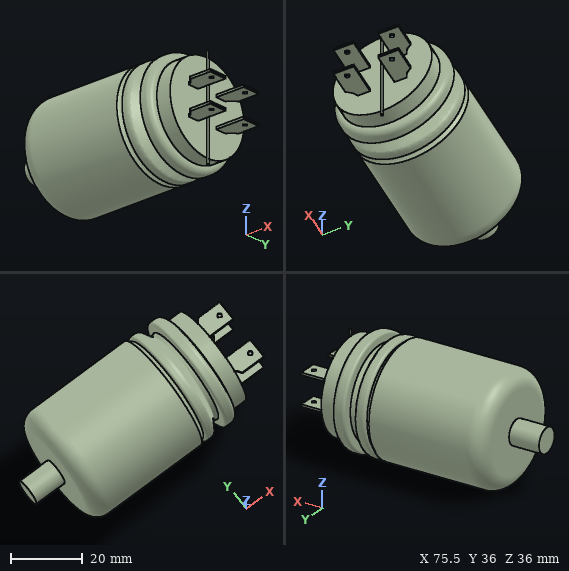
import cadquery as cq
import math

TOTAL_LENGTH = 75.5

STUD_RADIUS = 4.0
STUD_LENGTH = 10.0
CAN_RADIUS = 18.01
CAN_EDGE_FILLET = 5.0
CAN_END = 47.35

BEAD_LEFT_FILLET = 0.9
LOCK_BEAD_START = 48.8
LOCK_BEAD_CROWN_END = 50.7
RIM_BEAD_START = 55.6
RIM_BEAD_CROWN_END = 58.05
RIM_BEAD_RIGHT_FILLET = 1.9

NOTCH_DEPTH = 1.2
NOTCH_SAG = 0.15
GROOVE_SHOULDER = (52.2, 17.45)
GROOVE_FLANK = (53.0, 16.0)
GROOVE_FLOOR = (54.1, 14.5)
GROOVE_RIM_RADIUS = 14.9
GROOVE_END_DIRECTION = (1, 0.2)

DISC_RADIUS = 15.4
DISC_END = 64.9
WIRE_RADIUS = 0.34
WIRE_LENGTH = 34.7
WIRE_SINK = 0.1

TAB_WIDTH = 6.35
TAB_THICKNESS = 0.8
TAB_CENTRE_Y = 6.95
TAB_CENTRE_Z = 4.9
TAB_ROOT_CUT_LENGTH = 2.65
TAB_ROOT_CUT_DEPTH = 2.5
TAB_ROOT_CUT_RADIUS = 4.5
TAB_TIP_CHAMFER = 0.3
TAB_HOLE_DIAMETER = 1.3
TAB_HOLE_FROM_TIP = 2.65


def arc_point(centre, radius, angle):
    """Point on a circle at an angle in degrees."""
    a = math.radians(angle)
    return centre[0] + radius * math.cos(a), centre[1] + radius * math.sin(a)


def round_corner(profile, centre, radius, start_angle, end_angle):
    """Add a circular arc that starts at the profile's current point."""
    middle = arc_point(centre, radius, (start_angle + end_angle) / 2)
    return profile.threePointArc(middle, arc_point(centre, radius, end_angle))


def bead_left_edge(profile, start_x):
    """Straight wall up from the groove, rounded into the bead crown."""
    centre = (start_x + BEAD_LEFT_FILLET, CAN_RADIUS - BEAD_LEFT_FILLET)
    profile = profile.lineTo(start_x, centre[1])
    return round_corner(profile, centre, BEAD_LEFT_FILLET, 180, 90)


def make_body():
    """Stud, can, beads and end disc, revolved about the X axis."""
    profile = (
        cq.Workplane("XY")
        .lineTo(0, STUD_RADIUS)
        .lineTo(STUD_LENGTH, STUD_RADIUS)
        .lineTo(STUD_LENGTH, CAN_RADIUS - CAN_EDGE_FILLET)
    )
    edge_centre = (STUD_LENGTH + CAN_EDGE_FILLET, CAN_RADIUS - CAN_EDGE_FILLET)
    profile = round_corner(profile, edge_centre, CAN_EDGE_FILLET, 180, 90)

    notch_middle = ((CAN_END + LOCK_BEAD_START) / 2, CAN_RADIUS - NOTCH_DEPTH / 2 - NOTCH_SAG)
    profile = profile.lineTo(CAN_END, CAN_RADIUS)
    profile = profile.threePointArc(notch_middle, (LOCK_BEAD_START, CAN_RADIUS - NOTCH_DEPTH))

    profile = bead_left_edge(profile, LOCK_BEAD_START)
    profile = profile.lineTo(LOCK_BEAD_CROWN_END, CAN_RADIUS)
    groove_end = (RIM_BEAD_START, GROOVE_RIM_RADIUS)
    profile = profile.spline(
        [GROOVE_SHOULDER, GROOVE_FLANK, GROOVE_FLOOR, groove_end],
        tangents=[(1, 0), GROOVE_END_DIRECTION],
        includeCurrent=True,
    )

    profile = bead_left_edge(profile, RIM_BEAD_START)
    profile = profile.lineTo(RIM_BEAD_CROWN_END, CAN_RADIUS)
    rim_centre = (RIM_BEAD_CROWN_END, CAN_RADIUS - RIM_BEAD_RIGHT_FILLET)
    profile = round_corner(profile, rim_centre, RIM_BEAD_RIGHT_FILLET, 90, 0)
    profile = (
        profile.lineTo(RIM_BEAD_CROWN_END + RIM_BEAD_RIGHT_FILLET, DISC_RADIUS)
        .lineTo(DISC_END, DISC_RADIUS)
        .lineTo(DISC_END, 0)
        .close()
    )
    return profile.revolve(360, (0, 0, 0), (1, 0, 0))


def make_wire():
    """Thin vertical wire across the end disc, standing out past its edge."""
    return (
        cq.Workplane("XY")
        .center(DISC_END + WIRE_RADIUS - WIRE_SINK, 0)
        .circle(WIRE_RADIUS)
        .extrude(WIRE_LENGTH / 2, both=True)
    )


def make_tab():
    """Upper tab on the +Y side: blade with a scooped outer root, bevelled tip and a hole."""
    inner_y = TAB_CENTRE_Y - TAB_WIDTH / 2
    outer_y = TAB_CENTRE_Y + TAB_WIDTH / 2
    blade = (
        cq.Workplane("XY")
        .workplane(offset=TAB_CENTRE_Z)
        .moveTo(DISC_END, inner_y)
        .lineTo(TOTAL_LENGTH, inner_y)
        .lineTo(TOTAL_LENGTH, outer_y)
        .lineTo(DISC_END + TAB_ROOT_CUT_LENGTH, outer_y)
        .radiusArc((DISC_END, outer_y - TAB_ROOT_CUT_DEPTH), TAB_ROOT_CUT_RADIUS)
        .close()
        .extrude(TAB_THICKNESS / 2, both=True)
    )
    blade = blade.faces(">X").chamfer(TAB_TIP_CHAMFER)
    hole = (
        cq.Workplane("XY", origin=(TOTAL_LENGTH - TAB_HOLE_FROM_TIP, TAB_CENTRE_Y, TAB_CENTRE_Z))
        .circle(TAB_HOLE_DIAMETER / 2)
        .extrude(TAB_THICKNESS, both=True)
    )
    return blade.cut(hole)


result = make_body().union(make_wire())

upper_tab = make_tab()
upper_pair = upper_tab.union(upper_tab.mirror("XZ"))
result = result.union(upper_pair).union(upper_pair.mirror("XY"))